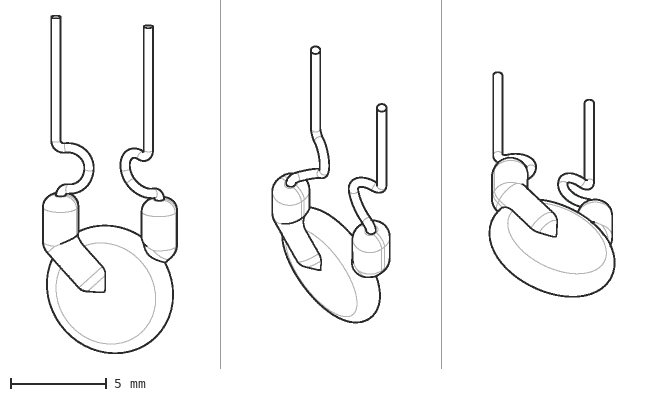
import cadquery as cq
import math

DISC_RADIUS = 3.45
DISC_THICK = 1.4

LIMB_RADIUS = 0.9
LIMB_FLAT = 0.2
LIMB_ROUND = 0.63
LIMB_OFFSET_Y = 0.5
SLEEVE_TOP = 5.05
ARM_ANGLE = 45

WIRE_RADIUS = 0.25
WIRE_Y = -1.25
WIRE_TOP = 15.0
CROOK_TOP = 8.25
WIRE_EMBED = 0.5

LEAD_X = DISC_RADIUS - LIMB_RADIUS
ELBOW_Z = LEAD_X * math.tan(math.radians(ARM_ANGLE))
ARM_LENGTH = math.hypot(LEAD_X, ELBOW_Z)

LEFT_CROOK = [
    (-2.10, -1.12, 7.85),
    (-0.89, -0.77, 6.71),
    (-2.13, -0.55, 5.44),
]
RIGHT_CROOK = [
    (2.06, -1.03, 7.85),
    (1.00, -0.43, 6.81),
    (1.29, -0.50, 6.21),
    (2.36, 0.15, 5.46),
]


def make_disc():
    half_thick = DISC_THICK / 2
    face_radius = DISC_RADIUS - half_thick
    return (
        cq.Workplane("XY")
        .moveTo(0, -half_thick)
        .lineTo(face_radius, -half_thick)
        .threePointArc((DISC_RADIUS, 0), (face_radius, half_thick))
        .lineTo(0, half_thick)
        .close()
        .revolve(360, (0, 0, 0), (0, 1, 0))
    )


def stadium_body(half_profile):
    """Turn a closed XZ half profile about Z, with a straight part LIMB_FLAT long in Y."""
    outline = half_profile.val()
    turned = cq.Workplane("XZ").add(outline).toPending().revolve(360, (0, 0, 0), (0, 1, 0))
    half_web = cq.Workplane("XZ").add(outline).toPending().extrude(LIMB_FLAT / 2, both=True)
    body = half_web.union(half_web.mirror("YZ"))
    for shift in (-LIMB_FLAT / 2, LIMB_FLAT / 2):
        body = body.union(turned.translate((0, shift, 0)))
    return body.clean()


def make_sleeve():
    """Upright sleeve on the Z axis, from z = 0 to its rounded top."""
    top_flat_radius = LIMB_RADIUS - LIMB_ROUND
    round_start = SLEEVE_TOP - LIMB_ROUND
    diagonal = LIMB_ROUND * math.sqrt(0.5)
    half_profile = (
        cq.Workplane("XZ")
        .lineTo(LIMB_RADIUS, 0)
        .lineTo(LIMB_RADIUS, round_start)
        .threePointArc(
            (top_flat_radius + diagonal, round_start + diagonal),
            (top_flat_radius, SLEEVE_TOP),
        )
        .lineTo(0, SLEEVE_TOP)
        .close()
    )
    return stadium_body(half_profile)


def make_arm():
    """Sloping arm with its conical tip at the origin and a rounded shoulder."""
    cone_angle = math.radians(ARM_ANGLE)
    round_centre_x = LIMB_RADIUS - LIMB_ROUND
    cone_height = LIMB_RADIUS / math.tan(cone_angle)
    round_centre_z = cone_height + LIMB_ROUND * math.tan((math.pi / 2 - cone_angle) / 2)

    def on_round(angle):
        return (
            round_centre_x + LIMB_ROUND * math.cos(angle),
            round_centre_z - LIMB_ROUND * math.sin(angle),
        )

    half_profile = (
        cq.Workplane("XZ")
        .lineTo(*on_round(cone_angle))
        .threePointArc(on_round(cone_angle / 2), on_round(0))
        .lineTo(LIMB_RADIUS, ARM_LENGTH + LIMB_RADIUS)
        .lineTo(0, ARM_LENGTH + LIMB_RADIUS)
        .close()
    )
    return stadium_body(half_profile).rotate((0, 0, 0), (0, 1, 0), -ARM_ANGLE)


def make_elbow():
    """Ball joint that rounds the outside of the bend between sleeve and arm."""
    elbow = cq.Workplane("XZ").circle(LIMB_RADIUS).extrude(LIMB_FLAT / 2, both=True)
    for shift in (-LIMB_FLAT / 2, LIMB_FLAT / 2):
        elbow = elbow.union(cq.Workplane("XY").sphere(LIMB_RADIUS).translate((0, shift, 0)))
    return elbow.translate((-LEAD_X, 0, ELBOW_Z))


def half_space(tilt):
    """Large block above a plane through the elbow, the plane tilted about Y by the given angle."""
    size = 4 * ARM_LENGTH
    block = cq.Workplane("XY").box(size, size, size, centered=(True, True, False))
    return block.rotate((0, 0, 0), (0, 1, 0), tilt).translate((-LEAD_X, 0, ELBOW_Z))


def make_limb():
    """Left limb, on the front of the disc: sleeve and arm cut square and joined by the ball."""
    sleeve = make_sleeve().translate((-LEAD_X, 0, 0)).intersect(half_space(0))
    arm = make_arm().cut(half_space(ARM_ANGLE - 90))
    limb = sleeve.union(arm).union(make_elbow())
    return limb.translate((0, -LIMB_OFFSET_Y, 0))


def make_wire(side, sleeve_y, crook):
    """Straight wire, then a crook of tangent arcs through the given points into the sleeve."""
    x = side * LEAD_X
    bend_start = cq.Vector(x, WIRE_Y, CROOK_TOP)
    sleeve_entry = cq.Vector(x, sleeve_y, SLEEVE_TOP)
    arc_ends = [cq.Vector(*point) for point in crook] + [sleeve_entry]

    edges = [cq.Edge.makeLine(cq.Vector(x, WIRE_Y, WIRE_TOP), bend_start)]
    for arc_end in arc_ends:
        previous = edges[-1]
        edges.append(cq.Edge.makeTangentArc(previous.endPoint(), previous.tangentAt(1), arc_end))
    root_end = sleeve_entry + edges[-1].tangentAt(1) * WIRE_EMBED
    edges.append(cq.Edge.makeLine(sleeve_entry, root_end))

    section = cq.Workplane("XY", origin=(x, WIRE_Y, WIRE_TOP)).circle(WIRE_RADIUS)
    return section.sweep(cq.Workplane(cq.Wire.assembleEdges(edges)))


left_limb = make_limb()
right_limb = left_limb.rotate((0, 0, 0), (0, 0, 1), 180)
result = make_disc().union(left_limb).union(right_limb)
result = result.union(make_wire(-1, -LIMB_OFFSET_Y, LEFT_CROOK))
result = result.union(make_wire(1, LIMB_OFFSET_Y, RIGHT_CROOK))